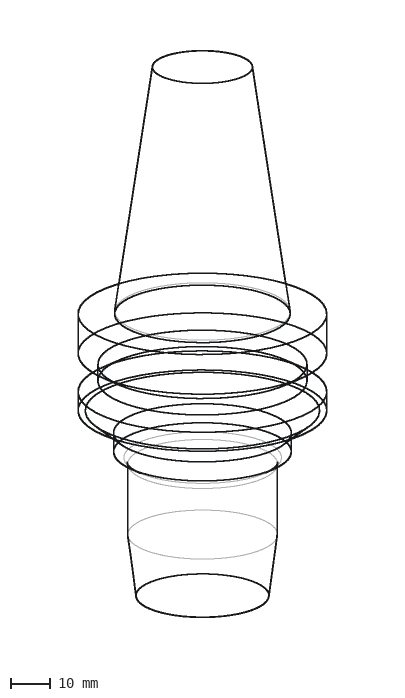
import cadquery as cq
import math

total_height = 141.6

gauge_diameter = 44.5
taper_length = 65.4
taper_ratio = 7 / 24
root_height = 0.7

flange_diameter = 63.0
upper_rim_height = 10.6
groove_diameter = 53.0
groove_floor_height = 4.4
flank_angle = 60.0
lower_rim_height = 5.1

underside_diameter = 59.3
underside_height = 6.0
collar_diameter = 45.0
collar_height = 5.1

nose_diameter = 38.0
nose_tip_diameter = 33.7
nose_taper_height = 16.4
nose_fillet = 2.0


def flank_height(outer_diameter, inner_diameter):
    """Height of a sloping flank between two diameters."""
    return (outer_diameter - inner_diameter) / 2 / math.tan(math.radians(flank_angle))


taper_radius = gauge_diameter / 2
shank_top_radius = taper_radius - taper_length * taper_ratio / 2
flange_radius = flange_diameter / 2
groove_radius = groove_diameter / 2
collar_radius = collar_diameter / 2
nose_radius = nose_diameter / 2
groove_flank = flank_height(flange_diameter, groove_diameter)

gauge_z = total_height - taper_length
flange_top_z = gauge_z - root_height
upper_rim_z = flange_top_z - upper_rim_height
groove_top_z = upper_rim_z - groove_flank
groove_bottom_z = groove_top_z - groove_floor_height
lower_rim_top_z = groove_bottom_z - groove_flank
lower_rim_z = lower_rim_top_z - lower_rim_height
collar_top_z = lower_rim_z - underside_height
collar_bottom_z = collar_top_z - collar_height

corner_z = collar_bottom_z - flank_height(collar_diameter, nose_diameter)
slope = math.radians(flank_angle)
fillet_tangent = nose_fillet * math.tan(slope / 2)
fillet_end_z = corner_z - fillet_tangent
fillet_start = (
    nose_radius + fillet_tangent * math.sin(slope),
    corner_z + fillet_tangent * math.cos(slope),
)
fillet_middle = (
    nose_radius + nose_fillet * (1 - math.cos(slope / 2)),
    fillet_end_z + nose_fillet * math.sin(slope / 2),
)

result = (
    cq.Workplane("XZ")
    .moveTo(0, total_height)
    .lineTo(shank_top_radius, total_height)
    .lineTo(taper_radius, gauge_z)
    .lineTo(taper_radius, flange_top_z)
    .lineTo(flange_radius, flange_top_z)
    .lineTo(flange_radius, upper_rim_z)
    .lineTo(groove_radius, groove_top_z)
    .lineTo(groove_radius, groove_bottom_z)
    .lineTo(flange_radius, lower_rim_top_z)
    .lineTo(flange_radius, lower_rim_z)
    .lineTo(underside_diameter / 2, lower_rim_z)
    .lineTo(collar_radius, collar_top_z)
    .lineTo(collar_radius, collar_bottom_z)
    .lineTo(*fillet_start)
    .threePointArc(fillet_middle, (nose_radius, fillet_end_z))
    .lineTo(nose_radius, nose_taper_height)
    .lineTo(nose_tip_diameter / 2, 0)
    .lineTo(0, 0)
    .close()
    .revolve(360, (0, 0, 0), (0, 1, 0))
)